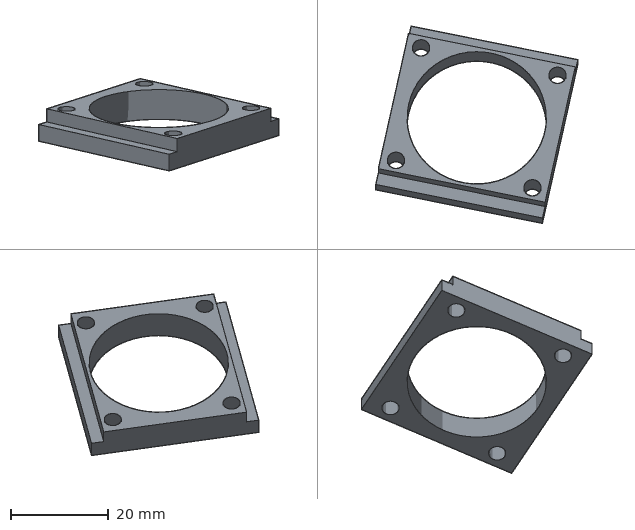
import cadquery as cq

side = 34.92
height = 6.35

ledge_width = 2.55
ledge_height = 3.55

bore_diameter = 28.5
hole_diameter = 3.5
hole_spacing_x = 28.55
hole_spacing_y = 24.8


def stepped_plate():
    """Square base carrying a raised block that is narrower along Y."""
    base = cq.Workplane("XY").box(side, side, ledge_height, centered=(True, True, False))
    raised_block = cq.Workplane("XY").box(
        side, side - 2 * ledge_width, height, centered=(True, True, False)
    )
    return base.union(raised_block)


def cut_bore(plate):
    """Large central opening."""
    return plate.faces(">Z").workplane(origin=(0, 0, height)).hole(bore_diameter)


def cut_corner_holes(plate):
    """One through hole near each corner of the raised block."""
    return (
        plate.faces(">Z")
        .workplane(origin=(0, 0, height))
        .rarray(hole_spacing_x, hole_spacing_y, 2, 2)
        .hole(hole_diameter)
    )


result = cut_corner_holes(cut_bore(stepped_plate()))